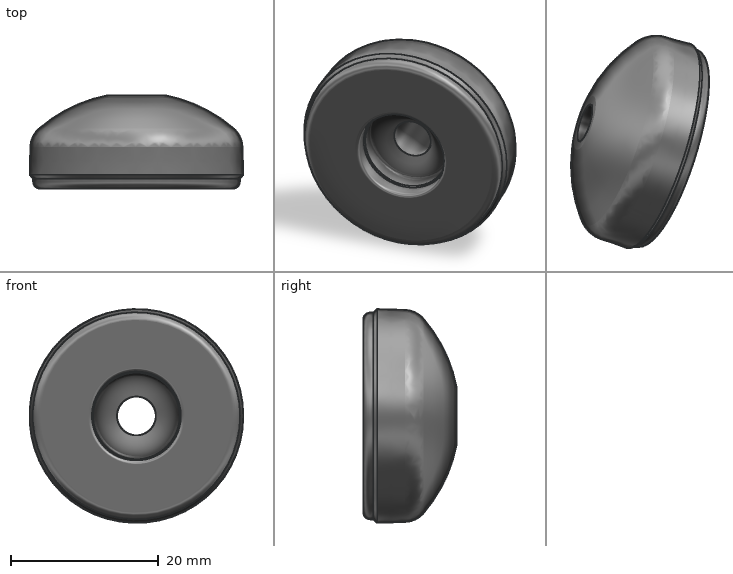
import cadquery as cq
import math


housing_radius = 14.48
wall_top_radius = 14.37
wall_top_depth = 5.6
total_depth = 12.7
dome_radius = 20.15
dome_flat_radius = 3.8
shoulder_fillet = 3.48
rim_depth = 1.4
rim_chamfer_depth = 1.9

pad_radius = 14.02
pad_bore_radius = 6.03
pad_thickness = 2.11
pad_outer_fillet = 1.05
pad_bore_fillet = 0.5

bore_radius = 5.85
bore_depth = 4.43
bore_chamfer = pad_bore_radius - bore_radius
seat_fillet = 0.5
hole_radius = 2.6
hole_start_depth = 4.92

dome_centre = total_depth - math.sqrt(dome_radius**2 - dome_flat_radius**2)


def dome_depth(radius):
    """Depth of the dome surface at a distance from the axis."""
    return dome_centre + math.sqrt(dome_radius**2 - radius**2)


def wall_dome_corner():
    """Radius and depth where the tapered wall, carried on, meets the dome."""
    taper = (housing_radius - wall_top_radius) / (wall_top_depth - rim_chamfer_depth)
    wall_base = housing_radius + taper * (rim_chamfer_depth - dome_centre)
    a = 1 + taper**2
    b = -2 * taper * wall_base
    c = wall_base**2 - dome_radius**2
    height = (-b + math.sqrt(b**2 - 4 * a * c)) / (2 * a)
    return wall_base - taper * height, dome_centre + height


def revolve_about_y(profile):
    return profile.close().revolve(360, (0, 0, 0), (0, 1, 0))


def circle_at(body, radius, depth):
    """The circular edge with a given radius, lying at a given depth."""
    reach = 0.003
    box = cq.selectors.BoxSelector(
        (-radius - reach, depth - reach, -radius - reach),
        (radius + reach, depth + reach, radius + reach),
        boundingbox=True,
    )
    return body.edges(box).edges("%CIRCLE").edges(cq.selectors.RadiusNthSelector(-1))


def make_housing():
    corner_radius, corner_depth = wall_dome_corner()
    dome_mid_radius = (corner_radius + dome_flat_radius) / 2
    outside = revolve_about_y(
        cq.Workplane("XY")
        .moveTo(0, rim_depth)
        .lineTo(pad_radius, rim_depth)
        .lineTo(housing_radius, rim_chamfer_depth)
        .lineTo(corner_radius, corner_depth)
        .threePointArc((dome_mid_radius, dome_depth(dome_mid_radius)), (dome_flat_radius, total_depth))
        .lineTo(0, total_depth)
    )
    outside = circle_at(outside, corner_radius, corner_depth).fillet(shoulder_fillet)

    inside = revolve_about_y(
        cq.Workplane("XY")
        .moveTo(0, 0)
        .lineTo(pad_radius, 0)
        .lineTo(pad_radius, pad_thickness)
        .lineTo(pad_bore_radius, pad_thickness)
        .lineTo(bore_radius, pad_thickness + bore_chamfer)
        .lineTo(bore_radius, bore_depth)
        .lineTo(hole_radius, hole_start_depth)
        .lineTo(hole_radius, total_depth)
        .lineTo(0, total_depth)
    )
    inside = circle_at(inside, bore_radius, bore_depth).fillet(seat_fillet)
    return outside.cut(inside)


def make_pad():
    pad = revolve_about_y(
        cq.Workplane("XY")
        .moveTo(pad_bore_radius, 0)
        .lineTo(pad_radius, 0)
        .lineTo(pad_radius, pad_thickness)
        .lineTo(pad_bore_radius, pad_thickness)
    )
    bore_edge = pad.faces("<Y").edges(cq.selectors.RadiusNthSelector(0))
    pad = bore_edge.fillet(pad_bore_fillet)
    outer_edge = pad.faces("<Y").edges(cq.selectors.RadiusNthSelector(-1))
    return outer_edge.fillet(pad_outer_fillet)


housing = make_housing()
pad = make_pad()

result = cq.Compound.makeCompound([housing.val(), pad.val()])